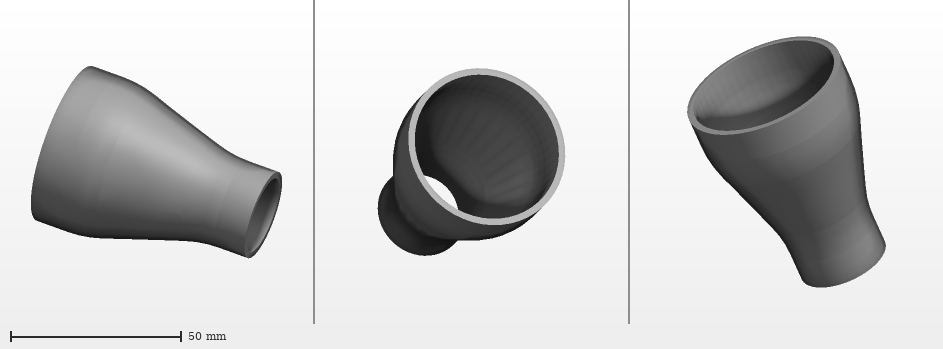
import cadquery as cq
import math

length = 64.0
large_radius = 48.3 / 2
small_radius = 26.9 / 2
wall = 2.0
collar_length = 9.6
bend_radius = 35.2

bend_start = collar_length
bend_end = length - collar_length
bend_span = bend_end - bend_start
center_rise = 2 * bend_radius - (large_radius - small_radius)
center_distance = math.hypot(bend_span, center_rise)
cone_angle = math.atan2(bend_span, center_rise) - math.acos(2 * bend_radius / center_distance)


def bend_offset(radius, angle):
    """Axial advance and radial change after turning through angle along a bend."""
    return radius * math.sin(angle), radius * (1 - math.cos(angle))


def reducer_body(inset):
    """Solid of revolution with its surface offset inward by inset, bends kept concentric."""
    wide = large_radius - inset
    narrow = small_radius - inset
    wide_half_run, wide_half_drop = bend_offset(bend_radius - inset, cone_angle / 2)
    wide_run, wide_drop = bend_offset(bend_radius - inset, cone_angle)
    narrow_half_run, narrow_half_drop = bend_offset(bend_radius + inset, cone_angle / 2)
    narrow_run, narrow_drop = bend_offset(bend_radius + inset, cone_angle)
    return (
        cq.Workplane("XZ")
        .lineTo(0, wide)
        .lineTo(bend_start, wide)
        .threePointArc(
            (bend_start + wide_half_run, wide - wide_half_drop),
            (bend_start + wide_run, wide - wide_drop),
        )
        .lineTo(bend_end - narrow_run, narrow + narrow_drop)
        .threePointArc(
            (bend_end - narrow_half_run, narrow + narrow_half_drop),
            (bend_end, narrow),
        )
        .lineTo(length, narrow)
        .lineTo(length, 0)
        .close()
        .revolve(360, (0, 0, 0), (1, 0, 0))
    )


result = reducer_body(0).cut(reducer_body(wall))